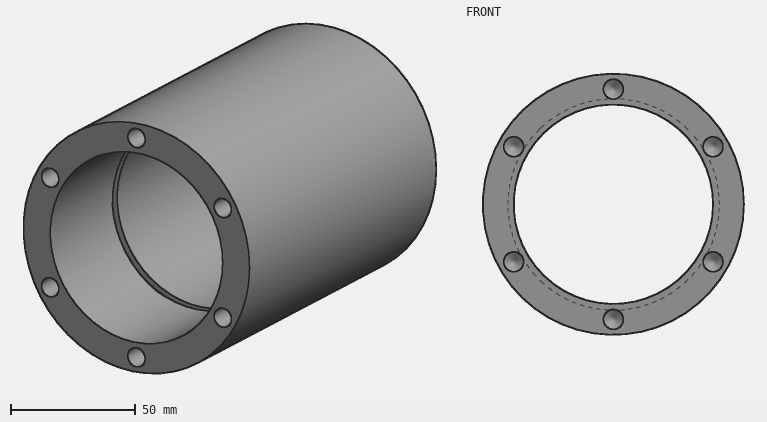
import cadquery as cq
import math

full_turn = 360.0

outer_diameter = 105.0
bore_diameter = 80.0
length = 150.0
front_y = -length / 2

hole_count = 6
hole_diameter = 8.0
hole_depth = 25.0
drill_tip_angle = 118.0
hole_circle_radius = (outer_diameter + bore_diameter) / 4

groove_start = 50.0
groove_width = 3.7
groove_depth = 2.5


def ring(outer, inner, start, width):
    """Ring about the Y axis, starting at a distance from the front face."""
    plane = cq.Workplane("XZ", origin=(0, front_y + start, 0))
    return plane.circle(outer / 2).circle(inner / 2).extrude(-width)


def drilled_hole(radius, depth, tip_angle):
    """Drill shape along +Y with a conical tip, its mouth at the origin."""
    tip_length = radius / math.tan(math.radians(tip_angle / 2))
    profile = [(0, 0), (radius, 0), (radius, depth), (0, depth + tip_length)]
    return cq.Workplane("XY").polyline(profile).close().revolve(full_turn, (0, 0), (0, 1))


tube = ring(outer_diameter, bore_diameter, 0, length)
groove_diameter = bore_diameter + 2 * groove_depth
tube = tube.cut(ring(groove_diameter, bore_diameter, groove_start, groove_width))

drill = drilled_hole(hole_diameter / 2, hole_depth, drill_tip_angle)
first_drill = drill.translate((0, front_y, hole_circle_radius))
for index in range(hole_count):
    angle = index * full_turn / hole_count
    tube = tube.cut(first_drill.rotate((0, 0, 0), (0, 1, 0), angle))

result = tube